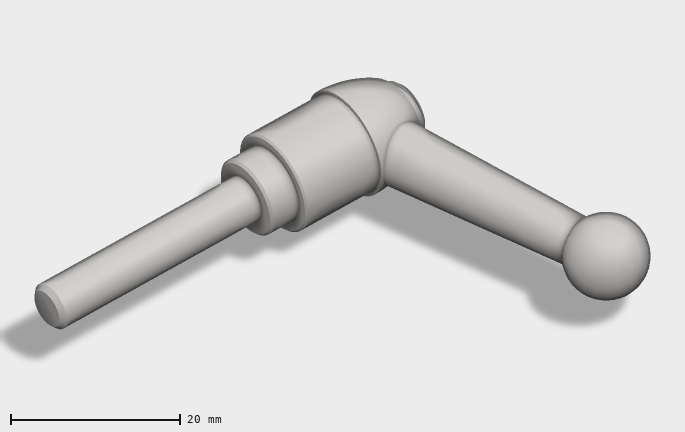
import cadquery as cq
import math

overall_length = 62.7
overall_width = 46.25

stud_diameter = 6.0
stud_length = 29.9
stud_chamfer = 0.6
collar_diameter = 10.0
collar_length = 4.1
collar_chamfer = 0.3
body_diameter = 13.0
body_length = 11.0
body_chamfer = 0.25

head_diameter = 14.0
dome_height = 7.8
dome_mid_height = 4.4
dome_mid_radius = 6.3
dome_top_radius = 4.75
crown_height = 8.65
crown_radius = 4.3
crown_round_bulge = 0.095
cut_angle = 13.7
cut_height_on_axis = 7.8

button_diameter = 8.0
button_height = 9.45
button_chamfer = 0.75

ball_diameter = 10.5
arm_angle = 16.5
arm_taper = 2.04
arm_radius_at_ball = 3.0
arm_start_x = 2.5

head_radius = head_diameter / 2
ball_radius = ball_diameter / 2
head_base = collar_length + body_length
ball_x = overall_width - head_radius - ball_radius
ball_y = overall_length - stud_length - ball_radius


def cylinder(diameter, start_y, length):
    """Cylinder on the stud axis, running towards +Y."""
    base = cq.Workplane("XZ", origin=(0, start_y, 0))
    return base.circle(diameter / 2).extrude(-length)


def make_shank():
    """Stud, collar and body, each chamfered at its lower end."""
    stud = cylinder(stud_diameter, -stud_length, stud_length + collar_length)
    collar = cylinder(collar_diameter, 0, collar_length)
    body = cylinder(body_diameter, collar_length, body_length)
    stud = stud.faces("<Y").chamfer(stud_chamfer)
    collar = collar.faces("<Y").chamfer(collar_chamfer)
    body = body.faces("<Y").chamfer(body_chamfer)
    return stud.union(collar).union(body)


def make_head():
    """Dome with a rounded crown, trimmed by the sloping plane."""
    crown_mid = (
        (dome_top_radius + crown_radius) / 2 + crown_round_bulge,
        head_base + (dome_height + crown_height) / 2 + crown_round_bulge,
    )
    dome = (
        cq.Workplane("XY")
        .moveTo(0, head_base)
        .lineTo(head_radius, head_base)
        .threePointArc(
            (dome_mid_radius, head_base + dome_mid_height),
            (dome_top_radius, head_base + dome_height),
        )
        .threePointArc(crown_mid, (crown_radius, head_base + crown_height))
        .lineTo(0, head_base + crown_height)
        .close()
        .revolve(360, (0, 0, 0), (0, 1, 0))
    )
    cutter_size = 2 * head_diameter
    cut_point = (0, head_base + cut_height_on_axis, 0)
    cutter = (
        cq.Workplane("XY")
        .box(cutter_size, cutter_size, cutter_size, centered=(True, False, True))
        .rotate((0, 0, 0), (0, 0, 1), cut_angle)
        .translate(cut_point)
    )
    return dome.cut(cutter)


def make_button():
    button = cylinder(button_diameter, head_base, button_height)
    return button.faces(">Y").chamfer(button_chamfer)


def make_arm():
    """Cone that narrows from inside the head to the centre of the ball."""
    angle = math.radians(arm_angle)
    arm_length = (ball_x - arm_start_x) / math.cos(angle)
    root_radius = arm_radius_at_ball + arm_length * math.tan(math.radians(arm_taper))
    root = cq.Vector(arm_start_x, ball_y - arm_length * math.sin(angle), 0)
    direction = cq.Vector(math.cos(angle), math.sin(angle), 0)
    cone = cq.Solid.makeCone(root_radius, arm_radius_at_ball, arm_length, root, direction)
    return cq.Workplane(obj=cone)


ball = cq.Workplane("XY").sphere(ball_radius).translate((ball_x, ball_y, 0))

result = make_shank().union(make_head()).union(make_button()).union(make_arm()).union(ball)